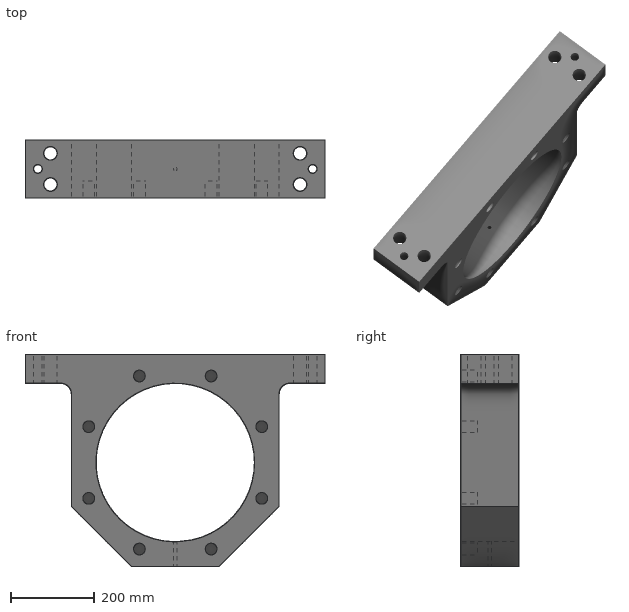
import cadquery as cq

flange_length = 720.0
depth = 140.0
flange_thickness = 70.0

height = 510.0
body_width = 500.0
axis_below_top = 260.0
corner_cut = 145.0
inner_corner_radius = 25.0
bore_diameter = 380.0

bolt_count = 8
bolt_circle_diameter = 450.0
bolt_hole_diameter = 28.0
bolt_hole_depth = 40.0

mount_spacing_x = 600.0
mount_spacing_y = 75.0
mount_hole_diameter = 32.0
dowel_spacing = 660.0
dowel_hole_diameter = 20.0
drain_diameter = 9.0

top_z = axis_below_top
bottom_z = top_z - height
flange_bottom_z = top_z - flange_thickness
half_flange = flange_length / 2
half_body = body_width / 2


def make_blank():
    """Extrude the T-shaped outline with cut lower corners, centred on Y."""
    outline = [
        (-half_flange, top_z),
        (half_flange, top_z),
        (half_flange, flange_bottom_z),
        (half_body, flange_bottom_z),
        (half_body, bottom_z + corner_cut),
        (half_body - corner_cut, bottom_z),
        (corner_cut - half_body, bottom_z),
        (-half_body, bottom_z + corner_cut),
        (-half_body, flange_bottom_z),
        (-half_flange, flange_bottom_z),
    ]
    blank = cq.Workplane("XZ", origin=(0, depth / 2, 0)).polyline(outline).close().extrude(depth)
    margin = inner_corner_radius / 2
    inner_corners = cq.selectors.BoxSelector(
        (-half_body - margin, -depth, flange_bottom_z - margin),
        (half_body + margin, depth, flange_bottom_z + margin),
    )
    return blank.edges("|Y").edges(inner_corners).fillet(inner_corner_radius)


def make_bore():
    return cq.Workplane("XZ", origin=(0, depth / 2, 0)).circle(bore_diameter / 2).extrude(depth)


def make_bolt_holes():
    """Ring of blind holes, straddling the vertical and horizontal centre lines."""
    half_step = 180 / bolt_count
    return (
        cq.Workplane("XZ", origin=(0, -depth / 2, 0))
        .polarArray(bolt_circle_diameter / 2, half_step, 360, bolt_count)
        .circle(bolt_hole_diameter / 2)
        .extrude(-bolt_hole_depth)
    )


def make_flange_holes():
    """At each end of the flange: two mounting holes and one dowel hole."""
    flange_top = cq.Workplane("XY", origin=(0, 0, top_z))
    mounts = (
        flange_top.rect(mount_spacing_x, mount_spacing_y, forConstruction=True)
        .vertices()
        .circle(mount_hole_diameter / 2)
        .extrude(-flange_thickness)
    )
    dowels = (
        flange_top.pushPoints([(-dowel_spacing / 2, 0), (dowel_spacing / 2, 0)])
        .circle(dowel_hole_diameter / 2)
        .extrude(-flange_thickness)
    )
    return mounts.union(dowels)


def make_drain():
    """Small hole from the bore down through the bottom face."""
    return cq.Workplane("XY", origin=(0, 0, bottom_z)).circle(drain_diameter / 2).extrude(-bottom_z)


result = (
    make_blank()
    .cut(make_bore())
    .cut(make_bolt_holes())
    .cut(make_flange_holes())
    .cut(make_drain())
)